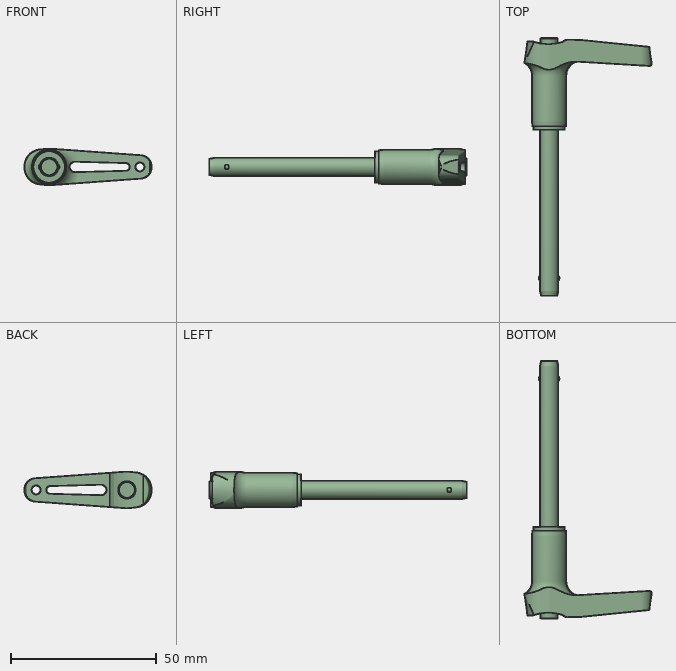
import cadquery as cq
import math


PIN_RADIUS = 6.35 / 2
PIN_LENGTH = 57.0
TIP_RADIUS = 2.8
TIP_LENGTH = 1.7
BALL_RADIUS = 0.9
BALL_PROTRUSION = 0.4
BALL_TO_TIP = 6.1

SLEEVE_RADIUS = 5.95
COLLAR_RADIUS = 5.4
COLLAR_LENGTH = 1.3
BEVEL_LOWER_RADIUS = 5.8
BEVEL_LENGTH = 1.65
FLARE_START = 18.95
FLARE_ARC_RADIUS = 4.5
FLARE_TOP = FLARE_START + FLARE_ARC_RADIUS
FLARE_RADIUS = SLEEVE_RADIUS + FLARE_ARC_RADIUS

HUB_RADIUS = 12.66 / 2
LEVER_LENGTH = 43.8
HEEL_REACH = 8.55
HEEL_RADIUS = 6.08
HEEL_X = HEEL_RADIUS - HEEL_REACH
TOE_REACH = LEVER_LENGTH - HEEL_REACH
TOE_RADIUS = 4.07
TOE_X = TOE_REACH - TOE_RADIUS

HEEL_TOP = (-7.5, 30.5)
HEEL_BOTTOM_Y = 23.06
SCOOP_START = (-5.6, 30.45)
SCOOP_BOTTOM = (0.0, 29.5)
SCOOP_END = (4.4, 30.2)
CREST = (5.8, 31.05)
CREST_SHOULDER = (11.0, 30.95)
TOE_TOP = (34.45, 28.5)
TOE_BOTTOM_Y = 21.9
TOE_BOTTOM_ROUND = 1.0
UNDERSIDE_START_X = 9.3
TOP_EDGE_ROUND = 0.4

SLOT_NEAR = (8.8, 1.75)
SLOT_FAR = (26.35, 1.28)
TOE_HOLE_RADIUS = 1.5

BUTTON_RADIUS = 3.0
BUTTON_TOP = 31.6
BUTTON_BEVEL = 0.3

PLAN_DEPTH = 2 * BUTTON_TOP
HALF_ARC = math.sqrt(0.5)


def revolve_about_pin(profile):
    return profile.close().revolve(360, (0, 0, 0), (0, 1, 0))


def tangent_points(first, second):
    """Points where the upper common tangent touches two (centre x, radius) circles, left one first."""
    (x1, r1), (x2, r2) = first, second
    sine = (r1 - r2) / (x2 - x1)
    cosine = math.sqrt(1 - sine**2)
    return (x1 + r1 * sine, r1 * cosine), (x2 + r2 * sine, r2 * cosine)


def mirrored(point):
    return point[0], -point[1]


def plan_workplane():
    """Sketch plane with X to the right and Z up, extruding toward -Y."""
    return cq.Workplane("XZ", origin=(0, PLAN_DEPTH, 0))


def make_pin():
    tip = -PIN_LENGTH
    pin = revolve_about_pin(
        cq.Workplane("XY")
        .moveTo(0, tip)
        .lineTo(TIP_RADIUS, tip)
        .lineTo(PIN_RADIUS, tip + TIP_LENGTH)
        .lineTo(PIN_RADIUS, COLLAR_LENGTH)
        .lineTo(0, COLLAR_LENGTH)
    )
    ball_offset = PIN_RADIUS + BALL_PROTRUSION - BALL_RADIUS
    for side in (-1, 1):
        ball = cq.Workplane("XY").sphere(BALL_RADIUS)
        pin = pin.union(ball.translate((side * ball_offset, tip + BALL_TO_TIP, 0)))
    return pin


def make_sleeve():
    bend = FLARE_ARC_RADIUS * HALF_ARC
    bevel_end = COLLAR_LENGTH + BEVEL_LENGTH
    return revolve_about_pin(
        cq.Workplane("XY")
        .lineTo(COLLAR_RADIUS, 0)
        .lineTo(COLLAR_RADIUS, COLLAR_LENGTH)
        .lineTo(BEVEL_LOWER_RADIUS, COLLAR_LENGTH)
        .lineTo(SLEEVE_RADIUS, bevel_end)
        .lineTo(SLEEVE_RADIUS, FLARE_START)
        .threePointArc((FLARE_RADIUS - bend, FLARE_START + bend), (FLARE_RADIUS, FLARE_TOP))
        .lineTo(0, FLARE_TOP)
    )


def make_plan():
    heel, hub, toe = (HEEL_X, HEEL_RADIUS), (0, HUB_RADIUS), (TOE_X, TOE_RADIUS)
    heel_end, hub_left = tangent_points(heel, hub)
    hub_right, toe_start = tangent_points(hub, toe)
    return (
        plan_workplane()
        .moveTo(*heel_end)
        .lineTo(*hub_left)
        .threePointArc((0, HUB_RADIUS), hub_right)
        .lineTo(*toe_start)
        .threePointArc((TOE_REACH, 0), mirrored(toe_start))
        .lineTo(*mirrored(hub_right))
        .threePointArc((0, -HUB_RADIUS), mirrored(hub_left))
        .lineTo(*mirrored(heel_end))
        .threePointArc((-HEEL_REACH, 0), heel_end)
        .close()
        .extrude(PLAN_DEPTH)
    )


def make_side_profile():
    return (
        cq.Workplane("XY")
        .moveTo(-HEEL_REACH, FLARE_TOP)
        .lineTo(-HEEL_REACH, HEEL_TOP[1])
        .lineTo(*SCOOP_START)
        .threePointArc(SCOOP_BOTTOM, SCOOP_END)
        .lineTo(*CREST)
        .lineTo(*CREST_SHOULDER)
        .lineTo(TOE_REACH, TOE_TOP[1])
        .lineTo(TOE_REACH, TOE_BOTTOM_Y)
        .lineTo(UNDERSIDE_START_X, FLARE_TOP)
        .close()
        .extrude(HUB_RADIUS, both=True)
    )


def cone_radius(lower, upper, height):
    """Radius at a height on the straight side through two (radius, height) points."""
    (r1, y1), (r2, y2) = lower, upper
    return r1 + (r2 - r1) * (height - y1) / (y2 - y1)


def make_end_envelope():
    """Cones about the pin axis that taper the heel and toe ends; the toe cone is rounded at its foot."""
    heel_lower = (HEEL_REACH, HEEL_BOTTOM_Y)
    heel_upper = (-HEEL_TOP[0], HEEL_TOP[1])
    heel_cone = revolve_about_pin(
        cq.Workplane("XY")
        .lineTo(cone_radius(heel_lower, heel_upper, 0), 0)
        .lineTo(cone_radius(heel_lower, heel_upper, BUTTON_TOP), BUTTON_TOP)
        .lineTo(0, BUTTON_TOP)
    )

    foot_radius = TOE_REACH - TOE_BOTTOM_ROUND
    round_end = TOE_BOTTOM_Y + TOE_BOTTOM_ROUND
    bend = TOE_BOTTOM_ROUND * HALF_ARC
    toe_cone = revolve_about_pin(
        cq.Workplane("XY")
        .lineTo(foot_radius, 0)
        .lineTo(foot_radius, TOE_BOTTOM_Y)
        .threePointArc((foot_radius + bend, round_end - bend), (TOE_REACH, round_end))
        .lineTo(cone_radius((TOE_REACH, round_end), TOE_TOP, BUTTON_TOP), BUTTON_TOP)
        .lineTo(0, BUTTON_TOP)
    )
    toe_half = cq.Workplane("XY").box(TOE_REACH, BUTTON_TOP, 2 * HUB_RADIUS, centered=(False, False, True))
    return heel_cone.union(toe_cone.intersect(toe_half))


def round_top_edges(lever):
    """Round the rim of the top face, leaving its cross creases, which run along Z, sharp."""
    upper_region = cq.selectors.BoxSelector(
        (-HEEL_REACH, TOE_TOP[1] - TOP_EDGE_ROUND, -LEVER_LENGTH),
        (TOE_REACH, BUTTON_TOP, LEVER_LENGTH),
    )
    creases = cq.selectors.ParallelDirSelector(cq.Vector(0, 0, 1))
    return lever.edges(upper_region - creases).fillet(TOP_EDGE_ROUND)


def make_openings():
    near_top, far_top = tangent_points(SLOT_NEAR, SLOT_FAR)
    slot = (
        plan_workplane()
        .moveTo(*near_top)
        .lineTo(*far_top)
        .threePointArc((SLOT_FAR[0] + SLOT_FAR[1], 0), mirrored(far_top))
        .lineTo(*mirrored(near_top))
        .threePointArc((SLOT_NEAR[0] - SLOT_NEAR[1], 0), near_top)
        .close()
        .extrude(PLAN_DEPTH)
    )
    hole = plan_workplane().center(TOE_X, 0).circle(TOE_HOLE_RADIUS).extrude(PLAN_DEPTH)
    return slot.union(hole)


def make_button():
    return revolve_about_pin(
        cq.Workplane("XY")
        .moveTo(0, FLARE_TOP)
        .lineTo(BUTTON_RADIUS, FLARE_TOP)
        .lineTo(BUTTON_RADIUS, BUTTON_TOP - BUTTON_BEVEL)
        .lineTo(BUTTON_RADIUS - BUTTON_BEVEL, BUTTON_TOP)
        .lineTo(0, BUTTON_TOP)
    )


outer_limits = make_plan().intersect(make_end_envelope())
lever = round_top_edges(make_side_profile().intersect(outer_limits))
sleeve = make_sleeve().intersect(outer_limits)
handle = lever.union(sleeve).cut(make_openings())
result = handle.union(make_pin()).union(make_button())